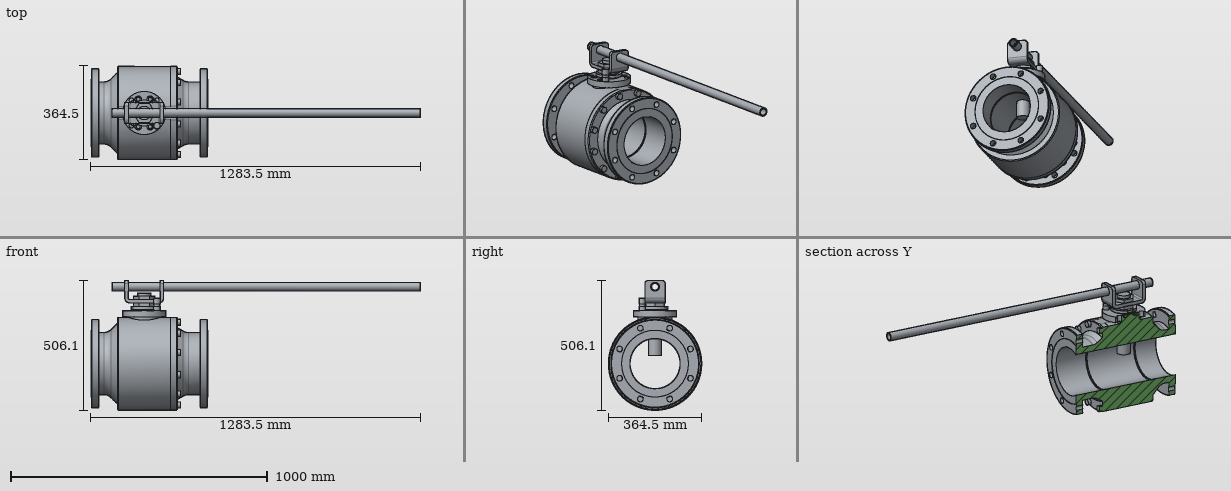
import cadquery as cq
import math


face_to_face = 457.0
inlet_x = -208.0
outlet_x = inlet_x + face_to_face
bore_dia = 194.0
seat_groove_dia = 197.0
seat_groove_width = 6.0
seat_groove_x = 110.0

flange_dia = 345.0
flange_thickness = 30.0
flange_chamfer = 3.0
raised_face_dia = 260.0
raised_face_height = 2.0
flange_bolt_circle = 298.5
flange_hole_count = 8
flange_hole_dia = 22.0

neck_dia = 243.0
neck_blend_radius = 40.0
inlet_cone_angle = 45.0
outlet_cone_angle = 30.0
inlet_neck_length = 51.0
outlet_neck_length = 77.0

body_dia = 364.2
closure_dia = 364.5
body_start_x = inlet_x + 103.5
closure_start_x = inlet_x + 310.0
body_end_x = inlet_x + 337.0
body_chamfer = 4.0
body_flat_width = 52.0

body_bolt_count = 12
body_bolt_circle = 334.0
body_bolt_head_dia = 24.0
body_bolt_head_height = 13.0

pad_neck_dia = 134.0
pad_dia = 168.0
pad_bottom_z = 182.0
pad_top_z = 206.0
pad_mount_circle = 140.0
pad_mount_hole_dia = 18.0
pad_mount_hole_angles = (45.0, 135.0, 225.0)
stop_pin_angle = -45.0
gland_bolt_circle = 116.0
gland_bolt_angle = 66.5
gland_counterbore_dia = 26.0
gland_counterbore_depth = 17.0
gland_head_dia = 24.0
gland_head_height = 16.0
gland_socket_width = 14.0
gland_socket_depth = 8.0

stem_dia = 52.0
stem_bottom_z = 31.0
stem_top_z = 275.0

collar_dia = 84.0
stop_disc_dia = 102.0
stop_disc_bottom_z = 211.0
stop_disc_top_z = 222.0
hub_corner_dia = 84.0
hub_top_z = 263.0

stop_pin_base_dia = 26.0
stop_pin_shank_dia = 24.0
stop_pin_head_dia = 26.0
stop_pin_head_bottom_z = 232.0
stop_pin_top_z = 255.0

bracket_length = 152.0
bracket_width = 80.0
bracket_thickness = 14.0
bracket_bottom_z = 236.0
bracket_top_z = 323.9
bracket_bend_radius = 20.0
bracket_corner_radius = 12.0

tube_dia = 34.0
tube_bore_dia = 26.0
tube_axis_z = 299.5
tube_length = 1200.0
overall_length = 1283.5
tube_end_x = inlet_x + overall_length
tube_start_x = tube_end_x - tube_length


def cylinder_x(dia, start_x, end_x, y=0.0, z=0.0):
    """A cylinder along X between two stations."""
    return cq.Workplane("YZ", origin=(start_x, y, z)).circle(dia / 2).extrude(end_x - start_x)


def cylinder_z(dia, bottom_z, top_z, x=0.0, y=0.0):
    """A cylinder along Z between two heights."""
    return cq.Workplane("XY", origin=(x, y, bottom_z)).circle(dia / 2).extrude(top_z - bottom_z)


def polar(circle_dia, angle):
    """The point of a bolt circle at an angle in degrees."""
    radius = circle_dia / 2
    return radius * math.cos(math.radians(angle)), radius * math.sin(math.radians(angle))


def end_flange(face_x, inward):
    """A raised-face flange whose sealing face is at face_x; inward is +1 or -1 along X."""
    back_of_face = face_x + inward * raised_face_height
    plane = cq.Plane(origin=(back_of_face, 0, 0), xDir=(0, 1, 0), normal=(inward, 0, 0))
    disc = cq.Workplane(plane).circle(flange_dia / 2).extrude(flange_thickness)
    disc = disc.edges().chamfer(flange_chamfer)
    raised_face = cq.Workplane(plane).circle(raised_face_dia / 2).extrude(-raised_face_height)
    hole_centres = []
    for i in range(flange_hole_count):
        angle = 360.0 / flange_hole_count * (i + 0.5)
        hole_centres.append(polar(flange_bolt_circle, angle))
    holes = cq.Workplane(plane).pushPoints(hole_centres).circle(flange_hole_dia / 2)
    return disc.cut(holes.extrude(flange_thickness)).union(raised_face)


def flared_neck(face_x, inward, neck_length, cone_angle, body_x):
    """A straight neck that bends through an arc into a cone ending at the body face."""
    neck_radius = neck_dia / 2
    slope = math.radians(cone_angle)

    def on_blend(angle):
        along = neck_length + neck_blend_radius * math.sin(angle)
        return face_x + inward * along, neck_radius + neck_blend_radius * (1 - math.cos(angle))

    arc_end = on_blend(slope)
    cone_end_radius = arc_end[1] + abs(body_x - arc_end[0]) * math.tan(slope)
    start_x = face_x + inward * flange_thickness
    outline = (
        cq.Workplane("XZ")
        .moveTo(start_x, 0)
        .lineTo(start_x, neck_radius)
        .lineTo(*on_blend(0))
        .threePointArc(on_blend(slope / 2), arc_end)
        .lineTo(body_x, cone_end_radius)
        .lineTo(body_x, 0)
        .close()
    )
    return outline.revolve(360, (0, 0, 0), (1, 0, 0))


def body():
    """The barrel and its bolted closure ring, with a narrow flat along their top."""
    barrel = cylinder_x(body_dia, body_start_x, closure_start_x).faces("<X").chamfer(body_chamfer)
    closure = cylinder_x(closure_dia, closure_start_x, body_end_x).faces(">X").chamfer(body_chamfer)
    shell = barrel.union(closure)
    flat_z = math.sqrt((body_dia / 2) ** 2 - (body_flat_width / 2) ** 2)
    above_flat = cq.Workplane("XY", origin=(0, 0, flat_z)).rect(2 * body_dia, body_dia).extrude(body_dia)
    shell = shell.cut(above_flat)
    for i in range(body_bolt_count):
        y, z = polar(body_bolt_circle, 360.0 / body_bolt_count * (i + 0.5))
        shell = shell.union(
            cylinder_x(body_bolt_head_dia, body_end_x, body_end_x + body_bolt_head_height, y, z)
        )
    return shell


def mounting_pad():
    """The round pad on top of the body with its mounting holes and sunk gland bolts."""
    pad = cylinder_z(pad_neck_dia, bore_dia / 2, pad_bottom_z)
    pad = pad.union(cylinder_z(pad_dia, pad_bottom_z, pad_top_z))
    for angle in pad_mount_hole_angles:
        x, y = polar(pad_mount_circle, angle)
        pad = pad.cut(cylinder_z(pad_mount_hole_dia, pad_bottom_z, pad_top_z, x, y))
    for angle in (gland_bolt_angle, 180 - gland_bolt_angle, 180 + gland_bolt_angle, -gland_bolt_angle):
        x, y = polar(gland_bolt_circle, angle)
        seat_z = pad_top_z - gland_counterbore_depth
        head_top_z = seat_z + gland_head_height
        socket = (
            cq.Workplane("XY", origin=(x, y, head_top_z))
            .polygon(6, gland_socket_width, circumscribed=True)
            .extrude(-gland_socket_depth)
        )
        pad = pad.cut(cylinder_z(gland_counterbore_dia, seat_z, pad_top_z, x, y))
        pad = pad.union(cylinder_z(gland_head_dia, seat_z, head_top_z, x, y).cut(socket))
    return pad


def stop_stack():
    """Collar, stop disc and hexagonal hub around the stem, and the stop pin beside them."""
    collar = cylinder_z(collar_dia, pad_top_z, stop_disc_bottom_z)
    disc = cylinder_z(stop_disc_dia, stop_disc_bottom_z, stop_disc_top_z)
    hub = (
        cq.Workplane("XY", origin=(0, 0, stop_disc_top_z))
        .polygon(6, hub_corner_dia)
        .extrude(hub_top_z - stop_disc_top_z)
    )
    x, y = polar(pad_mount_circle, stop_pin_angle)
    pin_base = cylinder_z(stop_pin_base_dia, pad_top_z, stop_disc_top_z, x, y)
    pin_shank = cylinder_z(stop_pin_shank_dia, stop_disc_top_z, stop_pin_head_bottom_z, x, y)
    pin_head = cylinder_z(stop_pin_head_dia, stop_pin_head_bottom_z, stop_pin_top_z, x, y)
    pin = pin_base.union(pin_shank).union(pin_head)
    return collar.union(disc).union(hub).union(pin)


def lever():
    """The U-shaped bracket bent from strip, and the tube through its two ears."""
    height = bracket_top_z - bracket_bottom_z
    middle_z = bracket_bottom_z + height / 2
    block = cq.Workplane("XY", origin=(0, 0, middle_z)).box(bracket_length, bracket_width, height)
    block = block.edges("|Y and <Z").fillet(bracket_bend_radius)
    block = block.edges("|X and >Z").fillet(bracket_corner_radius)
    inside = (
        cq.Workplane("XY", origin=(0, 0, middle_z + bracket_thickness))
        .box(bracket_length - 2 * bracket_thickness, bracket_width, height)
        .edges("|Y and <Z")
        .fillet(bracket_bend_radius - bracket_thickness)
    )
    tube = cylinder_x(tube_dia, tube_start_x, tube_end_x, z=tube_axis_z)
    tube_bore = cylinder_x(tube_bore_dia, tube_start_x, tube_end_x, z=tube_axis_z)
    return block.cut(inside).union(tube).cut(tube_bore)


def bore():
    """The straight bore with a shallow seat groove on each side of the stem."""
    passage = cylinder_x(bore_dia, inlet_x, outlet_x)
    for centre_x in (-seat_groove_x, seat_groove_x):
        start_x = centre_x - seat_groove_width / 2
        passage = passage.union(cylinder_x(seat_groove_dia, start_x, start_x + seat_groove_width))
    return passage


valve = body()
valve = valve.union(flared_neck(inlet_x, 1, inlet_neck_length, inlet_cone_angle, body_start_x))
valve = valve.union(flared_neck(outlet_x, -1, outlet_neck_length, outlet_cone_angle, body_end_x))
valve = valve.union(end_flange(inlet_x, 1)).union(end_flange(outlet_x, -1))
valve = valve.union(mounting_pad()).cut(bore())
result = valve.union(cylinder_z(stem_dia, stem_bottom_z, stem_top_z)).union(stop_stack()).union(lever())